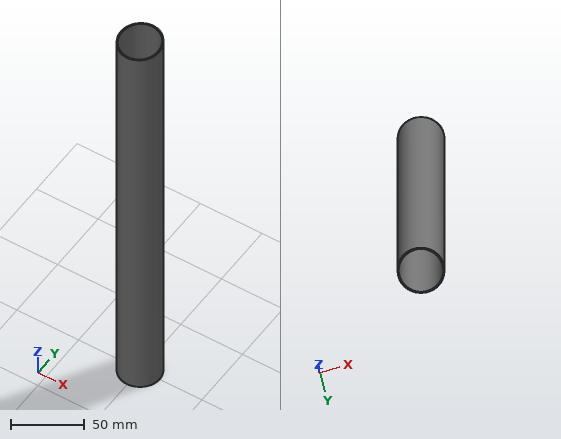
import cadquery as cq
import math

outer_diameter = 32.0
wall_thickness = 1.0
overall_height = 331.04
end_slant_angle = 6.0

outer_radius = outer_diameter / 2
inner_radius = outer_radius - wall_thickness
end_drop = outer_diameter * math.tan(math.radians(end_slant_angle))
short_side_height = overall_height - end_drop


def make_side_profile():
    """Solid with the tube's side outline in YZ: square bottom, slanted top."""
    return (
        cq.Workplane("YZ")
        .moveTo(-outer_radius, 0)
        .lineTo(outer_radius, 0)
        .lineTo(outer_radius, overall_height)
        .lineTo(-outer_radius, short_side_height)
        .close()
        .extrude(outer_radius, both=True)
    )


def make_straight_tube():
    """Round tube along Z with both ends square."""
    return cq.Workplane("XY").circle(outer_radius).circle(inner_radius).extrude(overall_height)


result = make_straight_tube().intersect(make_side_profile())